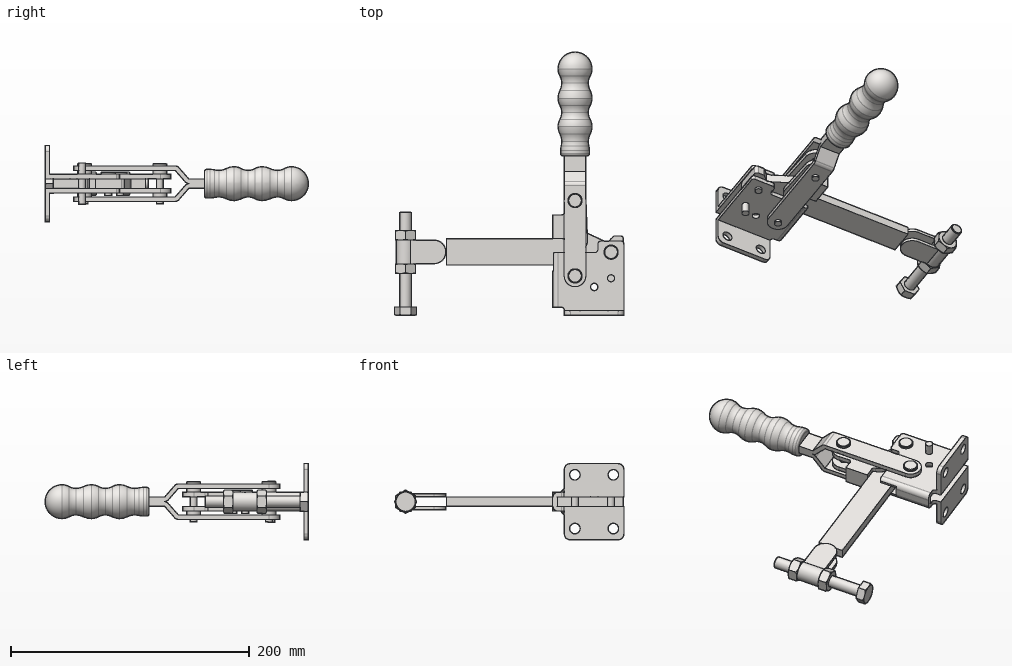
import cadquery as cq
import math


sheet = 4.0
inner_half = sheet
outer_half = 2 * sheet
collar_length = 3.0
leg_inner = outer_half + collar_length
leg_outer = leg_inner + sheet

pin_d = 6.0
pin_head_d = 12.0
pin_head = 2.0
pin_head_chamfer = 0.7
handle_pivot = (0, 33)
link_top_pivot = (0, 96.0)
link_low_pivot = (1.3, 62.8)
arm_pivot = (30.2, 53)
stop_pin = (30.2, 31.0)
stop_pin_half = 17.5

base_right = 41.0
web_left = -18.7
bend_r = 4.6
inner_bend_r = bend_r - sheet
wall_bottom = 6.8
wall_step_x = 19.2
wall_low_top = 52.7
wall_high_top = 62.2
wall_fillet = 2.5
wall_corner_r = 1.3
web_top = 37.0
wall_setback = 0.7
flange_left = -9.0
flange_depth = 64
flange_corner_r = 5.0
flange_hole_d = 8.5
flange_hole_dx = 32.2
flange_hole_dz = 45.0
spare_hole = (16.0, 23.8)

link_r = 9.3
shoulder_top = 84.2
link_fillet = 2.2

arm_left = -107.5
arm_top = 64.1
arm_width = 22
arm_bottom = arm_top - arm_width
arm_right = 40.5
arm_slope_angle = 25
horn_top = 66.5
horn_left = 32.6
horn_corner_r = 2.6

handle_width = 18.0
neck_bend = 120.3
leg_spread = leg_inner
leg_flare_length = 9.7
leg_bend_r = 4.5
tang_end = 138.9

grip_end = 220.5
bump_r = 14.3
waist_r = 11.2
bump_ys = (grip_end - bump_r, 181.5, 158.0)
waist_ys = (194.6, 170.0, 145.5)
collar_r = 12.1
collar_y = 138.0
grip_start = 133.3
grip_edge_r = 2.0

spindle_x = -141.7
bolt_d = 10.0
bolt_top = 86.6
bolt_chamfer = 0.7
head_height = 7.0
head_flats = 16.0
nut_flats = 17.0
nut_height = 8.2
nut_turn = 30
boss_r = outer_half
boss_height = 19.8
boss_bottom = arm_bottom + (arm_width - boss_height) / 2
ear_outer = 6.8
ear_tip = -108


def layer(low, high):
    """Workplane at Z = low and the thickness up to Z = high."""
    return cq.Workplane("XY", origin=(0, 0, low)), high - low


def disc(center, diameter, low, high):
    plane, thickness = layer(low, high)
    return plane.center(*center).circle(diameter / 2).extrude(thickness)


def block(x_range, y_range, z_range):
    plane, thickness = layer(*z_range)
    width = x_range[1] - x_range[0]
    depth = y_range[1] - y_range[0]
    return plane.center(x_range[0], y_range[0]).rect(width, depth, centered=False).extrude(thickness)


def upright_edge(solid, x, y):
    """Pick the edge parallel to Z that lies nearest to (x, y)."""
    return solid.edges("|Z").edges(cq.NearestToPointSelector((x, y, 0)))


def rivet(center, stack_half):
    """Pin through a stack, with a head on the +Z side and a plain tail on the -Z side."""
    shank = disc(center, pin_d, -stack_half - pin_head, stack_half)
    head = disc(center, pin_head_d, stack_half, stack_half + pin_head)
    return shank.union(head.faces(">Z").edges().chamfer(pin_head_chamfer))


def collared_rivet(center):
    """Pin through base or link and the handle legs, with a collar under each leg."""
    pin = rivet(center, leg_outer)
    for low, high in ((outer_half, leg_inner), (-leg_inner, -outer_half)):
        pin = pin.union(disc(center, pin_head_d, low, high))
    return pin


def folded_channel():
    """U-shaped sheet, closed at -X and open at +X, before its outline is cut."""
    y_range = (0, wall_high_top)
    outside = block((web_left, base_right), y_range, (-outer_half, outer_half))
    outside = outside.edges("|Y and <X").fillet(bend_r)
    web_inner = web_left + sheet
    inside = block((web_inner, base_right), y_range, (-inner_half, inner_half))
    inside = inside.edges("|Y and <X").fillet(inner_bend_r)
    window_x = (web_left, web_inner + inner_bend_r)
    window = block(window_x, (web_top, wall_high_top), (-inner_half, inner_half))
    return outside.cut(inside).cut(window)


def base_outline():
    wall_left = web_left + wall_setback
    corners = [
        (web_left, wall_bottom, None),
        (flange_left, wall_bottom, wall_fillet),
        (flange_left, 0, None),
        (base_right, 0, None),
        (base_right, wall_high_top, wall_fillet),
        (wall_step_x, wall_high_top, wall_fillet),
        (wall_step_x, wall_low_top, wall_fillet),
        (wall_left, wall_low_top, wall_corner_r),
        (wall_left, web_top, None),
        (web_left, web_top, None),
    ]
    plane, thickness = layer(-outer_half, outer_half)
    solid = plane.polyline([(x, y) for x, y, _ in corners]).close().extrude(thickness)
    for x, y, radius in corners:
        if radius:
            solid = upright_edge(solid, x, y).fillet(radius)
    return solid


def base_flanges():
    half = flange_depth / 2
    plate = block((flange_left, base_right), (0, sheet), (-half, half))
    plate = plate.edges("|Y").fillet(flange_corner_r)
    slot = block((flange_left, base_right), (0, sheet), (-inner_half, inner_half))
    middle = (flange_left + base_right) / 2
    holes = (
        cq.Workplane("XZ", origin=(middle, 0, 0))
        .rarray(flange_hole_dx, flange_hole_dz, 2, 2)
        .circle(flange_hole_d / 2)
        .extrude(-sheet)
    )
    return plate.cut(slot).cut(holes)


def make_base():
    base = folded_channel().intersect(base_outline()).union(base_flanges())
    base = base.cut(disc(spare_hole, pin_d, -outer_half, outer_half))
    base = base.union(collared_rivet(handle_pivot))
    base = base.union(rivet(arm_pivot, outer_half))
    return base.union(disc(stop_pin, pin_d, -stop_pin_half, stop_pin_half))


def make_link():
    dx = link_top_pivot[0] - link_low_pivot[0]
    dy = link_top_pivot[1] - link_low_pivot[1]
    middle = (link_low_pivot[0] + dx / 2, link_low_pivot[1] + dy / 2)
    plane, thickness = layer(-outer_half, outer_half)
    link = (
        plane.center(*middle)
        .slot2D(math.hypot(dx, dy) + 2 * link_r, 2 * link_r, math.degrees(math.atan2(dy, dx)))
        .extrude(thickness)
    )
    shoulder_y = (arm_top, shoulder_top)
    link = link.union(block((web_left, 0), shoulder_y, (-outer_half, outer_half)))
    for y in shoulder_y:
        link = upright_edge(link, -link_r, y).fillet(link_fillet)
    reach = 2 * link_r
    gap_y = (link_low_pivot[1] - reach, link_top_pivot[1] + reach)
    link = link.cut(block((web_left + sheet, reach), gap_y, (-inner_half, inner_half)))
    return link.union(collared_rivet(link_top_pivot)).union(rivet(link_low_pivot, outer_half))


def make_arm():
    angle = math.radians(arm_slope_angle)
    pivot_x, pivot_y = link_low_pivot
    slope_start_x = pivot_x + link_r * math.sin(angle)
    slope_start_y = pivot_y + link_r * math.cos(angle)
    hump_left = pivot_x - math.sqrt(link_r**2 - (arm_top - pivot_y) ** 2)
    fall = math.tan(angle)
    notch_x = (slope_start_y + fall * slope_start_x - horn_top + horn_left) / (1 + fall)
    notch_y = horn_top - (horn_left - notch_x)
    plane, thickness = layer(-inner_half, inner_half)
    arm = (
        plane.moveTo(arm_left, arm_bottom)
        .lineTo(arm_left, arm_top)
        .lineTo(hump_left, arm_top)
        .threePointArc((pivot_x, pivot_y + link_r), (slope_start_x, slope_start_y))
        .lineTo(notch_x, notch_y)
        .lineTo(horn_left, horn_top)
        .lineTo(arm_right, horn_top)
        .lineTo(arm_right, arm_bottom)
        .close()
        .extrude(thickness)
    )
    arm = upright_edge(arm, arm_right, horn_top).fillet(horn_corner_r)
    for pivot in (link_low_pivot, arm_pivot):
        arm = arm.cut(disc(pivot, pin_d, -inner_half, inner_half))
    return arm


def handle_leg():
    """Bent strip on the +Z side, running from inside the grip to the rounded pivot end."""
    bend_angle = math.atan2(leg_spread, leg_flare_length)
    bend_shift = sheet * math.tan(bend_angle / 2)
    inner_neck_bend = neck_bend - bend_shift
    outer_leg_bend = neck_bend - leg_flare_length
    inner_leg_bend = inner_neck_bend - leg_flare_length
    half_width = handle_width / 2
    leg_end = handle_pivot[1]
    leg = (
        cq.Workplane("YZ", origin=(-half_width, 0, 0))
        .polyline([
            (tang_end, 0),
            (tang_end, sheet),
            (neck_bend, sheet),
            (outer_leg_bend, leg_outer),
            (leg_end, leg_outer),
            (leg_end, leg_inner),
            (inner_leg_bend, leg_inner),
            (inner_neck_bend, 0),
        ])
        .close()
        .extrude(handle_width)
    )
    for y, z in ((outer_leg_bend, leg_outer), (inner_neck_bend, 0)):
        leg = leg.edges("|X").edges(cq.NearestToPointSelector((0, y, z))).fillet(leg_bend_r)
    leg = leg.union(disc(handle_pivot, handle_width, leg_inner, leg_outer))
    for pivot in (handle_pivot, link_top_pivot):
        leg = leg.cut(disc(pivot, pin_d, leg_inner, leg_outer))
    return leg


def make_grip():
    """Round grip: bumps and waists joined by pairs of tangent arcs."""
    crests = [(bump_r, bump_ys[0])]
    swells = [(bump_r, y) for y in bump_ys[1:]] + [(collar_r, collar_y)]
    for waist_y, swell in zip(waist_ys, swells):
        crests += [(waist_r, waist_y), swell]
    profile = cq.Workplane("XY").moveTo(0, grip_end)
    dome_middle = bump_r * math.sqrt(0.5)
    profile = profile.threePointArc((dome_middle, bump_ys[0] + dome_middle), crests[0])
    for (r0, y0), (r1, y1) in zip(crests, crests[1:]):
        profile = profile.tangentArcPoint(((r0 + r1) / 2, (y0 + y1) / 2), relative=False)
        profile = profile.tangentArcPoint((r1, y1), relative=False)
    profile = (
        profile.lineTo(collar_r, grip_start + grip_edge_r)
        .tangentArcPoint((collar_r - grip_edge_r, grip_start), relative=False)
        .lineTo(0, grip_start)
        .close()
    )
    return profile.revolve(360, (0, 0, 0), (0, 1, 0))


def make_handle():
    leg = handle_leg()
    return make_grip().union(leg).union(leg.mirror("XY"))


def rod(diameter, low, high):
    """Cylinder on the spindle axis between two Y positions."""
    return cq.Workplane("XZ", origin=(spindle_x, low, 0)).circle(diameter / 2).extrude(low - high)


def hexagon(flats, low, height, turn, chamfer_top):
    """Hexagon on the spindle axis, its corners bevelled at 30 degrees."""
    flat_r = flats / 2
    corner_r = flat_r / math.cos(math.pi / 6)
    bevel = (corner_r - flat_r) * math.tan(math.pi / 6)
    prism = cq.Workplane("XZ").polygon(6, 2 * corner_r).extrude(-height)
    outline = [(0, 0), (flat_r, 0), (corner_r, bevel)]
    if chamfer_top:
        outline += [(corner_r, height - bevel), (flat_r, height), (0, height)]
    else:
        outline += [(corner_r, height), (0, height)]
    envelope = cq.Workplane("XY").polyline(outline).close().revolve(360, (0, 0, 0), (0, 1, 0))
    prism = prism.rotate((0, 0, 0), (0, 1, 0), turn).intersect(envelope)
    return prism.translate((spindle_x, low, 0))


def spindle_ear():
    """Flat tongue with a round tip on the +Z side, reaching from the boss toward the arm."""
    radius = boss_height / 2
    middle_y = boss_bottom + radius
    tip_center = ear_tip - radius
    plane, thickness = layer(inner_half, ear_outer)
    tongue = plane.center(tip_center, middle_y).circle(radius).extrude(thickness)
    strip = block((spindle_x, tip_center), (boss_bottom, boss_bottom + boss_height), (inner_half, ear_outer))
    return tongue.union(strip)


def make_spindle():
    boss_top = boss_bottom + boss_height
    bolt = rod(bolt_d, 0, bolt_top).faces(">Y").edges().chamfer(bolt_chamfer)
    spindle = bolt.union(hexagon(head_flats, 0, head_height, 0, False))
    spindle = spindle.union(rod(2 * boss_r, boss_bottom, boss_top))
    for low in (boss_bottom - nut_height, boss_top):
        spindle = spindle.union(hexagon(nut_flats, low, nut_height, nut_turn, True))
    ear = spindle_ear()
    return spindle.union(ear).union(ear.mirror("XY"))


base = make_base()
link = make_link()
arm = make_arm()
handle = make_handle()
spindle = make_spindle()

bodies = (base, link, arm, handle, spindle)
result = cq.Compound.makeCompound([body.solids().val() for body in bodies])